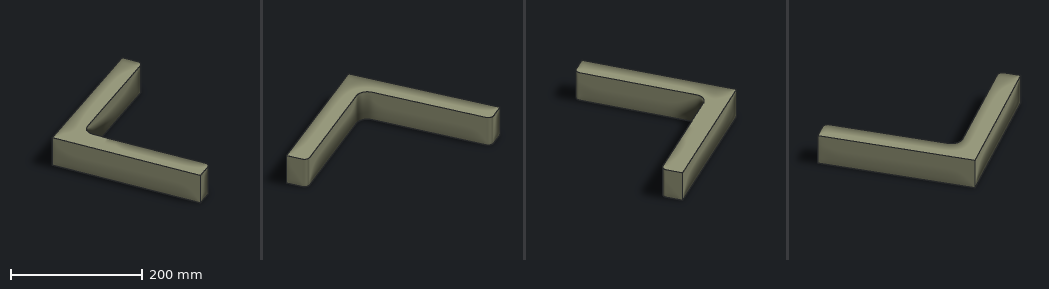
import cadquery as cq

leg_length = 250.0
leg_thickness = 35.0
part_height = 50.0
root_radius = 18.0
toe_radius = root_radius / 2

profile = [
    (0, 0),
    (leg_length, 0),
    (leg_length, leg_thickness),
    (leg_thickness, leg_thickness),
    (leg_thickness, leg_length),
    (0, leg_length),
]
angle = cq.Workplane("XY").polyline(profile).close().extrude(part_height)


def round_upright_edge(body, x, y, radius):
    """Fillet the vertical edge that passes through (x, y)."""
    nearest = cq.selectors.NearestToPointSelector((x, y, part_height / 2))
    return body.edges("|Z").edges(nearest).fillet(radius)


angle = round_upright_edge(angle, leg_thickness, leg_thickness, root_radius)
angle = round_upright_edge(angle, leg_length, leg_thickness, toe_radius)
angle = round_upright_edge(angle, leg_thickness, leg_length, toe_radius)

result = angle